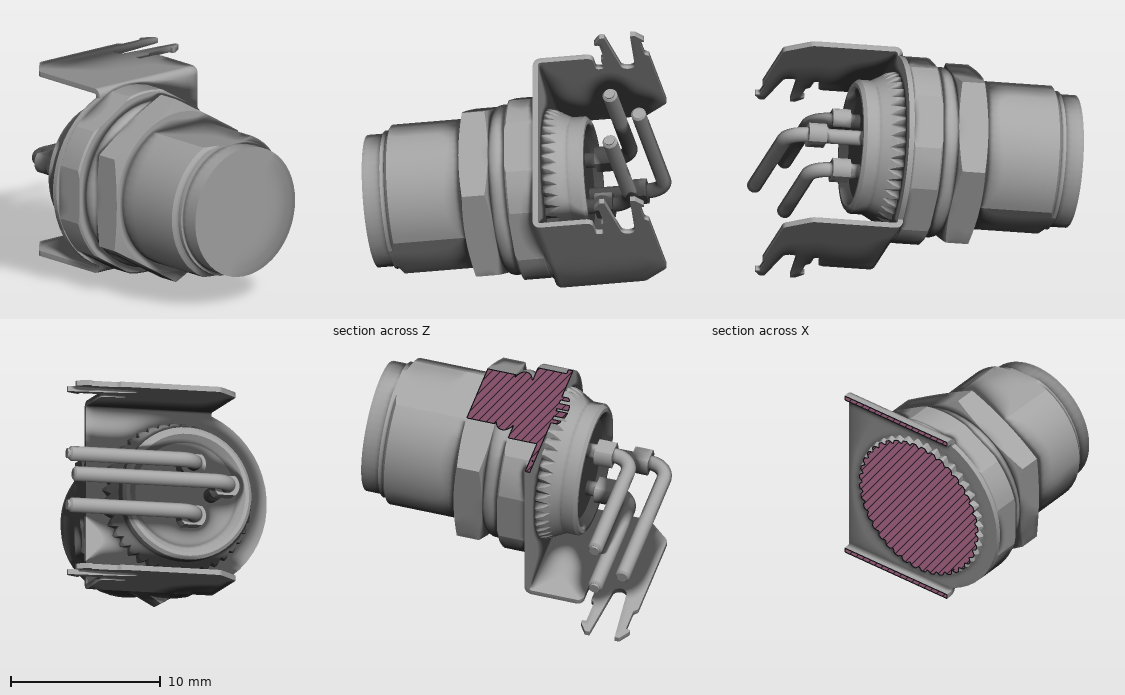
import cadquery as cq
import math

barrel_radius = 5.0
barrel_flat_offset = 4.5
barrel_end = 10.2
collar_radius = 4.64
collar_start = 10.45
collar_end = 10.72
nose_radius = 4.45
nose_end = 11.95

flange_across_flats = 12.05
flange_radius = 6.3
flange_length = 2.0
flange_chamfer = 0.12
seal_section_radius = 0.75
seal_outer_radius = 5.72
nut_across_flats = 11.0
nut_start = 3.2
nut_end = 5.2
nut_chamfer_depth = 0.23

cup_rear = -3.05
cup_radius = 4.5
cup_chamfer = 0.22
cup_mouth_radius = 4.02
cup_floor_radius = 3.5
cup_floor = -2.5
cone_start = -1.95
cone_knee = -0.92
cone_knee_radius = 5.05
cone_end = -0.5
cone_radius = 5.18
serration_count = 40
serration_root_radius = 4.83
serration_width = 0.7

sheet = 0.35
bracket_radius = 6.3
bracket_half_height = 6.4
bend_inner_radius = 0.15
arm_front_y = -2.45
arm_rear_y = bracket_radius

clip_x = -6.2
clip_half_width = 1.64
clip_shank = 1.38
clip_shoulder_low_y = 6.0
clip_shoulder_high_y = 6.25
hook_half_width = 1.68
hook_low_y = 8.05
hook_high_y = 8.25
tip_y = 9.0
tip_outer = 1.2
tip_inner = 0.88
fork_root = 0.47
fork_root_y = 4.8
fork_bottom_y = 4.43
relief_right_x = -4.03
relief_bottom_y = 4.7
relief_corner = 0.2
lug_corner = 0.45
corner_cut_x = 1.7
corner_cut_y = 1.55
cut_rounding = 0.5
shoulder_rounding = 0.25
hook_rounding = 0.1

pin_radius = 0.5
pin_bend_radius = 1.3
pin_circle_radius = 1.75
pin_tip_chamfer = 0.13
long_pin_leg_x = -7.7
long_pin_tip_y = 9.35
short_pin_leg_x = -5.71
short_pin_tip_y = 9.05
nib_radius = 0.34
nib_length = 0.15
sleeve_radius = 0.88
sleeve_flat_offset = 0.65
sleeve_length = 1.22
pin_embed = 0.3


def turned(points):
    """Solid of revolution about the X axis from (x, radius) points."""
    return cq.Workplane("XY").polyline(points).close().revolve(360, (0, 0, 0), (1, 0, 0))


def hex_prism(across_flats, start, length):
    """Hexagonal prism along X with two corners on the Z axis."""
    across_corners = across_flats / math.cos(math.pi / 6)
    return (
        cq.Workplane("YZ", origin=(start, 0, 0))
        .transformed(rotate=(0, 0, 90))
        .polygon(6, across_corners)
        .extrude(length)
    )


def make_barrel():
    barrel = turned([
        (0, 0),
        (0, barrel_radius),
        (barrel_end, barrel_radius),
        (collar_start, collar_radius),
        (collar_end, collar_radius),
        (collar_end, 0),
    ])
    flats = cq.Workplane("XY").box(
        collar_end, 2 * barrel_radius, 2 * barrel_flat_offset, centered=(False, True, True)
    )
    nose = turned([(0, 0), (0, nose_radius), (nose_end, nose_radius), (nose_end, 0)])
    return barrel.intersect(flats).union(nose)


def make_flange():
    inner_radius = flange_radius - flange_chamfer
    limit = turned([
        (0, 0),
        (0, inner_radius),
        (flange_chamfer, flange_radius),
        (flange_length - flange_chamfer, flange_radius),
        (flange_length, inner_radius),
        (flange_length, 0),
    ])
    return hex_prism(flange_across_flats, 0, flange_length).intersect(limit)


def make_seal():
    middle_x = (flange_length + nut_start) / 2
    ring_radius = seal_outer_radius - seal_section_radius
    axis_start = (-middle_x, -ring_radius, 0)
    axis_end = (0, -ring_radius, 0)
    section = cq.Workplane("XY").center(middle_x, ring_radius).circle(seal_section_radius)
    return section.revolve(360, axis_start, axis_end)


def make_nut():
    face_radius = nut_across_flats / 2
    corner_radius = face_radius / math.cos(math.pi / 6)
    limit = turned([
        (nut_start, 0),
        (nut_start, face_radius),
        (nut_start + nut_chamfer_depth, corner_radius),
        (nut_end - nut_chamfer_depth, corner_radius),
        (nut_end, face_radius),
        (nut_end, 0),
    ])
    return hex_prism(nut_across_flats, nut_start, nut_end - nut_start).intersect(limit)


def make_cup():
    cup = turned([
        (0, 0),
        (0, cone_radius),
        (cone_end, cone_radius),
        (cone_knee, cone_knee_radius),
        (cone_start, cup_radius),
        (cup_rear + cup_chamfer, cup_radius),
        (cup_rear, cup_radius - cup_chamfer),
        (cup_rear, cup_mouth_radius),
        (cup_floor, cup_floor_radius),
        (cup_floor, 0),
    ])
    cutter_scale = 2
    groove_depth = cone_radius - serration_root_radius
    half_width = cutter_scale * serration_width / 2
    groove = (
        cq.Workplane("YZ", origin=(cone_start, 0, 0))
        .polyline([
            (0, serration_root_radius),
            (half_width, serration_root_radius + cutter_scale * groove_depth),
            (-half_width, serration_root_radius + cutter_scale * groove_depth),
        ])
        .close()
        .extrude(-sheet - cone_start)
    )
    for index in range(serration_count):
        cup = cup.cut(groove.rotate((0, 0, 0), (1, 0, 0), index * 360 / serration_count))
    return cup


def arm_outline():
    """Plan outline of an arm, from the flange joint to the forked clip."""
    def right(offset):
        return clip_x + offset

    def left(offset):
        return clip_x - offset

    relief_left_x = right(clip_half_width)
    return (
        cq.Workplane("XY")
        .moveTo(0, arm_front_y)
        .lineTo(0, arm_rear_y)
        .lineTo(relief_right_x + lug_corner, arm_rear_y)
        .radiusArc((relief_right_x, arm_rear_y - lug_corner), -lug_corner)
        .lineTo(relief_right_x, relief_bottom_y + relief_corner)
        .radiusArc((relief_right_x - relief_corner, relief_bottom_y), relief_corner)
        .lineTo(relief_left_x + relief_corner, relief_bottom_y)
        .radiusArc((relief_left_x, relief_bottom_y + relief_corner), relief_corner)
        .lineTo(relief_left_x, clip_shoulder_low_y)
        .lineTo(right(clip_shank), clip_shoulder_high_y)
        .lineTo(right(clip_shank), hook_low_y)
        .lineTo(right(hook_half_width), hook_low_y)
        .lineTo(right(hook_half_width), hook_high_y)
        .lineTo(right(tip_outer), tip_y)
        .lineTo(right(tip_inner), tip_y)
        .lineTo(right(fork_root), fork_root_y)
        .threePointArc((clip_x, fork_bottom_y), (left(fork_root), fork_root_y))
        .lineTo(left(tip_inner), tip_y)
        .lineTo(left(tip_outer), tip_y)
        .lineTo(left(hook_half_width), hook_high_y)
        .lineTo(left(hook_half_width), hook_low_y)
        .lineTo(left(clip_shank), hook_low_y)
        .lineTo(left(clip_shank), clip_shoulder_high_y)
        .lineTo(left(clip_half_width), clip_shoulder_low_y)
        .lineTo(left(clip_half_width), arm_front_y + corner_cut_y)
        .lineTo(left(clip_half_width) + corner_cut_x, arm_front_y)
        .close()
    )


def arm_plan():
    """Upright prism of the arm outline with its small corners rounded."""
    plan = arm_outline().extrude(bracket_half_height, both=True)
    left_x = clip_x - clip_half_width
    corners = [
        (left_x, arm_front_y + corner_cut_y, cut_rounding),
        (left_x + corner_cut_x, arm_front_y, cut_rounding),
    ]
    for side in (1, -1):
        corners += [
            (clip_x + side * clip_half_width, clip_shoulder_low_y, shoulder_rounding),
            (clip_x + side * clip_shank, clip_shoulder_high_y, shoulder_rounding),
            (clip_x + side * clip_shank, hook_low_y, hook_rounding),
            (clip_x + side * hook_half_width, hook_high_y, hook_rounding),
            (clip_x + side * tip_outer, tip_y, hook_rounding),
        ]
    for x, y, radius in corners:
        plan = plan.edges(cq.selectors.NearestToPointSelector((x, y, 0))).fillet(radius)
    return plan


def make_bracket():
    """Face plate with a round edge and two arms bent back along -X."""
    reach_x = 2 * abs(clip_x)
    reach_y = tip_y - arm_front_y
    outer_bend_radius = bend_inner_radius + sheet
    channel = (
        cq.Workplane("XY", origin=(-reach_x, arm_front_y, 0))
        .box(reach_x, reach_y, 2 * bracket_half_height, centered=(False, False, True))
        .edges("|Y and >X")
        .fillet(outer_bend_radius)
    )
    hollow = (
        cq.Workplane("XY", origin=(-reach_x - sheet, arm_front_y, 0))
        .box(reach_x, reach_y, 2 * (bracket_half_height - sheet), centered=(False, False, True))
        .edges("|Y and >X")
        .fillet(bend_inner_radius)
    )
    channel = channel.cut(hollow).intersect(arm_plan())
    disc = cq.Workplane("YZ").circle(bracket_radius).extrude(-sheet)
    return channel.union(disc)


def make_pin(leg_x, root_y, root_z, leg_end_y):
    """Round pin leaving the cup along -X and bending to +Y, with a flatted sleeve."""
    bend_end_x = leg_x + pin_bend_radius
    path = (
        cq.Workplane("XY", origin=(0, 0, root_z))
        .moveTo(cup_floor + pin_embed, root_y)
        .lineTo(bend_end_x, root_y)
        .radiusArc((leg_x, root_y + pin_bend_radius), pin_bend_radius)
        .lineTo(leg_x, leg_end_y)
    )
    pin_start = (cup_floor + pin_embed, root_y, root_z)
    pin = cq.Workplane("YZ", origin=pin_start).circle(pin_radius).sweep(path)
    pin = pin.faces(">Y").chamfer(pin_tip_chamfer)
    sleeve_plane = cq.Workplane("YZ", origin=(bend_end_x, root_y, root_z))
    sleeve_round = sleeve_plane.circle(sleeve_radius).extrude(sleeve_length)
    sleeve_flats = sleeve_plane.rect(2 * sleeve_radius, 2 * sleeve_flat_offset).extrude(sleeve_length)
    return pin.union(sleeve_round.intersect(sleeve_flats))


def make_short_pin(root_z):
    """Short pin on the Y = 0 plane, ending in a narrower nib."""
    pin = make_pin(short_pin_leg_x, 0, root_z, short_pin_tip_y)
    nib = (
        cq.Workplane("XZ", origin=(short_pin_leg_x, short_pin_tip_y, root_z))
        .circle(nib_radius)
        .extrude(-nib_length)
    )
    return pin.union(nib)


result = make_barrel()
for section in (make_flange(), make_seal(), make_nut(), make_cup(), make_bracket()):
    result = result.union(section)
result = result.union(make_pin(long_pin_leg_x, -pin_circle_radius, 0, long_pin_tip_y))
for side in (1, -1):
    result = result.union(make_short_pin(side * pin_circle_radius))